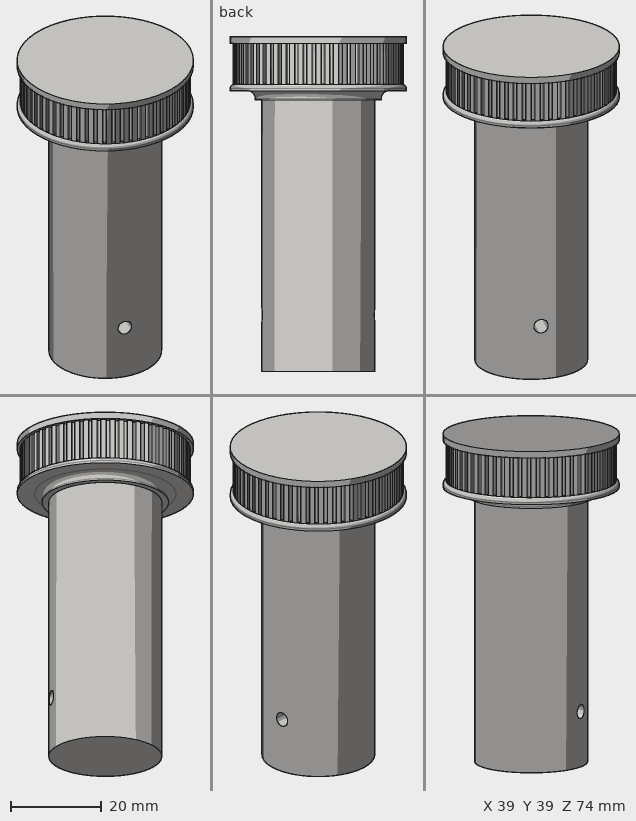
import cadquery as cq
import math

total_height = 74.0
flange_radius = 39.0 / 2
flange_thickness = 1.5

tooth_count = 60
rim_radius = 37.7 / 2
rim_height = 9.0
groove_depth = 0.75
groove_width = 0.6
tooth_tip_rounding = 0.185
lower_flange_rounding = 0.95

collar_radius = 28.0 / 2
collar_height = 2.0
collar_fillet = 1.6
shaft_radius = 25.0 / 2

cross_hole_diameter = 3.2
cross_hole_height = 12.5

rim_top = total_height - flange_thickness
rim_bottom = rim_top - rim_height
flange_bottom = rim_bottom - flange_thickness
collar_bottom = flange_bottom - collar_height

QUARTER_ARC = math.sqrt(0.5)


def make_body():
    """Revolve the shaft, collar, flanges and plain rim about Z."""
    fillet_center_r = collar_radius + collar_fillet
    fillet_center_z = flange_bottom - collar_fillet
    rounding_center_r = flange_radius - lower_flange_rounding
    rounding_center_z = rim_bottom - lower_flange_rounding
    rim_offset = rim_radius - rounding_center_r
    rim_foot_z = rounding_center_z + math.sqrt(lower_flange_rounding**2 - rim_offset**2)
    mid_angle = math.acos(rim_offset / lower_flange_rounding) / 2
    rounding_mid = (
        rounding_center_r + lower_flange_rounding * math.cos(mid_angle),
        rounding_center_z + lower_flange_rounding * math.sin(mid_angle),
    )
    fillet_mid = (
        fillet_center_r - collar_fillet * QUARTER_ARC,
        fillet_center_z + collar_fillet * QUARTER_ARC,
    )
    profile = (
        cq.Workplane("XZ")
        .lineTo(shaft_radius, 0)
        .lineTo(shaft_radius, collar_bottom)
        .lineTo(collar_radius, collar_bottom)
        .lineTo(collar_radius, fillet_center_z)
        .threePointArc(fillet_mid, (fillet_center_r, flange_bottom))
        .lineTo(flange_radius, flange_bottom)
        .lineTo(flange_radius, rounding_center_z)
        .threePointArc(rounding_mid, (rim_radius, rim_foot_z))
        .lineTo(rim_radius, rim_top)
        .lineTo(flange_radius, rim_top)
        .lineTo(flange_radius, total_height)
        .lineTo(0, total_height)
        .close()
    )
    return profile.revolve(360, (0, 0, 0), (0, 1, 0))


def make_grooves():
    """Round-bottomed belt grooves between rounded tooth tips, with a tooth centred on each axis."""
    pitch_angle = 360 / tooth_count
    half_width = groove_width / 2
    mouth_half_width = half_width + tooth_tip_rounding
    floor_radius = rim_radius - groove_depth
    floor_arc_center = floor_radius + half_width
    wall_top = rim_radius - tooth_tip_rounding
    tip_mid_radius = wall_top + tooth_tip_rounding * QUARTER_ARC
    tip_mid_offset = mouth_half_width - tooth_tip_rounding * QUARTER_ARC
    groove = (
        cq.Workplane("XY", origin=(0, 0, rim_bottom))
        .moveTo(flange_radius, -mouth_half_width)
        .lineTo(rim_radius, -mouth_half_width)
        .threePointArc((tip_mid_radius, -tip_mid_offset), (wall_top, -half_width))
        .lineTo(floor_arc_center, -half_width)
        .threePointArc((floor_radius, 0), (floor_arc_center, half_width))
        .lineTo(wall_top, half_width)
        .threePointArc((tip_mid_radius, tip_mid_offset), (rim_radius, mouth_half_width))
        .lineTo(flange_radius, mouth_half_width)
        .close()
        .extrude(rim_height)
    )
    grooves = []
    for i in range(tooth_count):
        turned = groove.rotate((0, 0, 0), (0, 0, 1), (i + 0.5) * pitch_angle)
        grooves.append(turned.val())
    return cq.Compound.makeCompound(grooves)


def make_cross_hole():
    """Round hole along X, right through the shaft."""
    return (
        cq.Workplane("YZ")
        .center(0, cross_hole_height)
        .circle(cross_hole_diameter / 2)
        .extrude(flange_radius, both=True)
    )


result = make_body().cut(cq.Workplane(obj=make_grooves())).cut(make_cross_hole())